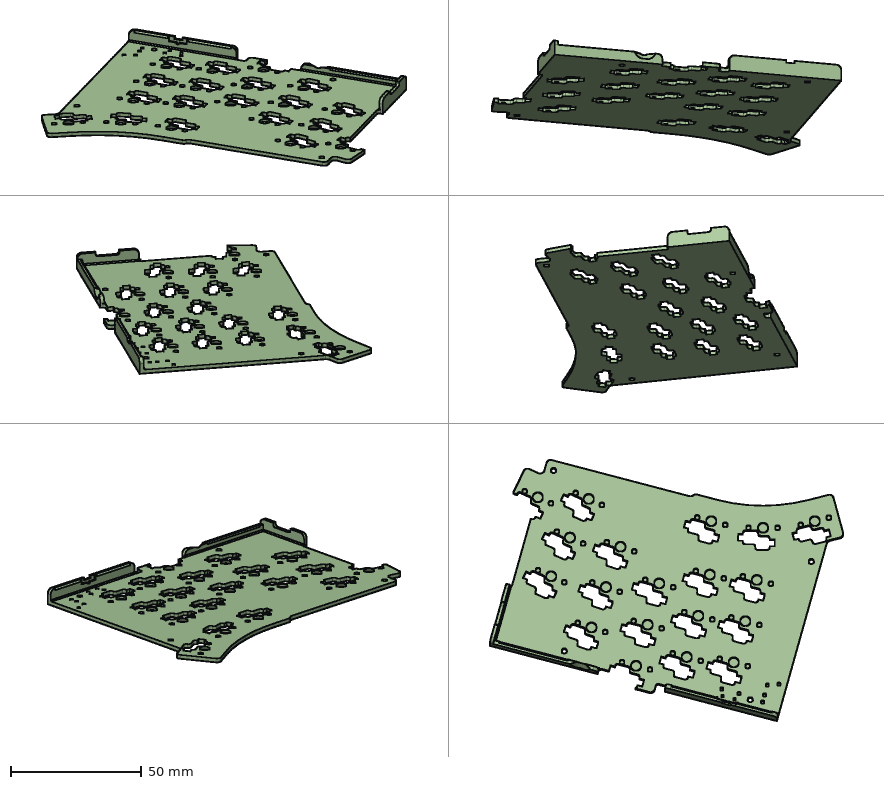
import cadquery as cq
import math


plate_thickness = 1.6
plate_left = 5.2
plate_right = 117.4
plate_front = 14.7
plate_rear = 89.8
corner_radius = 1.6
wall_end_radius = 1.0
step_run = 2.8

key_half_width = 9.4
key_half_depth = 8.7
key_pitch_x = 18.0
key_pitch_y = 17.0
rows = 3
center_pin_diameter = 3.9
side_pin_diameter = 1.9
side_pin_offset = 5.6
pocket_depth = 1.0

columns = [
    (27.2, 74.0, 0),
    (45.2, 76.6, 0),
    (63.0, 85.1, 0),
    (83.6, 74.8, -4),
    (103.8, 59.3, -10),
]
thumb_keys = [(11.9, 11.6, 30), (30.4, 19.4, 15), (50.3, 22.0, 0)]
outer_key_rise = 7.7

socket_radius = 1.0
socket_left_body = (-2.5, 3.2, 2.9, 8.9)
socket_right_body = (1.9, 1.0, 7.7, 6.6)
socket_left_tab = (-4.4, 4.5, 0, 7.3)
socket_right_tab = (5.1, 2.4, 9.5, 5.2)

mount_diameter = 2.0
mount_holes = [(17.2, 86.6), (91.2, 86.6), (9.0, 27.5), (114.0, 18.5)]
pin_diameter = 1.3
pin_places = [(12.4, 86.2), (12.4, 83.3), (12.4, 79.3), (8.2, 77.8)]
switch_x = 25.5
switch_pin_y = 85.3
switch_pin_offset = 3.4
peg_diameter = 1.0
peg_y = 88.0
peg_offset = 2.4

wall_top = 6.3
low_wall_top = 4.2
wall_thickness = 1.6
wall_radius = 2.0
foot_size = 0.5
wall_rear = 91.8
wall_inner_y = wall_rear - wall_thickness
left_wall_end = 49.8
right_wall_start = 76.5
side_wall_right = 119.4
side_wall_thickness = 1.4
side_wall_inner = side_wall_right - side_wall_thickness
side_wall_front = 67.5

relief_width = 0.6
high_relief_depth = 0.8
low_relief_depth = 0.5
high_relief_spans = [(7.6, 21.3), (29.6, 47.5)]
low_relief_spans = [(88.6, 116.1)]

switch_pocket_width = 7.3
switch_pocket_floor = 4.3
switch_pocket_depth = 0.8
lever_width = 3.3
lever_floor = 5.3
lever_dip_diameter = 1.3

jack_x = 83.5
jack_z = 5.8
jack_inner_diameter = 4.3
jack_outer_diameter = 9.0

scoop_front = 75.2
scoop_rear = 84.6
scoop_floor = 4.7
scoop_radius = 1.0


def block(x0, y0, x1, y1, z0, z1):
    return cq.Workplane("XY").box(x1 - x0, y1 - y0, z1 - z0, centered=False).translate((x0, y0, z0))


def place(body, key):
    x, y, turn = key
    return body.rotate((0, 0, 0), (0, 0, 1), turn).translate((x, y, 0))


def key_point(key, local_x, local_y):
    """Plate coordinates of a point given in the key's own turned axes."""
    x, y, turn = key
    c = math.cos(math.radians(turn))
    s = math.sin(math.radians(turn))
    return (x + local_x * c - local_y * s, y + local_x * s + local_y * c)


def column_keys(column):
    turn = column[2]
    return [key_point(column, 0, -row * key_pitch_y) + (turn,) for row in range(rows)]


grid_keys = [key for column in columns for key in column_keys(column)]
rear_key = columns[2]
last_key = grid_keys[-1]
outer_key = key_point(last_key, key_pitch_x, outer_key_rise) + (last_key[2],)
all_keys = grid_keys + [outer_key] + thumb_keys


def key_edge_at_x(key, side, x):
    """Point at the given X on the line through a key footprint's front (-1) or rear (1) edge."""
    start_x, start_y = key_point(key, 0, side * key_half_depth)
    return (x, start_y + (x - start_x) * math.tan(math.radians(key[2])))


def key_footprint(key):
    pad = block(-key_half_width, -key_half_depth, key_half_width, key_half_depth, 0, plate_thickness)
    return place(pad.edges("|Z").fillet(corner_radius), key)


def thumb_pad():
    """Area under the thumb keys, its front edge a fan of arcs tangent to each key."""
    tip, middle, straight = thumb_keys
    fan = [key_point(key, 0, -key_half_depth) for key in thumb_keys]
    step_x, foot_y = key_point(straight, key_half_width, -key_half_depth)
    pad = (
        cq.Workplane("XY")
        .moveTo(*key_point(tip, 0, key_half_depth))
        .lineTo(*key_point(tip, -key_half_width, key_half_depth))
        .lineTo(*key_point(tip, -key_half_width, -key_half_depth))
        .lineTo(*fan[0])
        .tangentArcPoint(fan[1], relative=False)
        .tangentArcPoint(fan[2], relative=False)
        .lineTo(step_x - step_run / 2, foot_y)
        .tangentArcPoint((step_x, (foot_y + plate_front) / 2), relative=False)
        .tangentArcPoint((step_x + step_run / 2, plate_front), relative=False)
        .lineTo(*key_point(straight, key_half_width, 0))
        .lineTo(*key_point(middle, 0, 0))
        .close()
        .extrude(plate_thickness)
    )
    for side in (-key_half_depth, key_half_depth):
        pad = round_corner(pad, key_point(tip, -key_half_width, side), corner_radius)
    return pad


def round_corner(body, corner, radius):
    """Fillet the upright edge of the plate standing at the given corner."""
    at = cq.selectors.NearestToPointSelector((corner[0], corner[1], plate_thickness / 2))
    return body.edges("|Z").edges(at).fillet(radius)


def build_plate():
    body = block(plate_left, plate_front, plate_right, plate_rear, 0, plate_thickness)
    body = round_corner(body, (plate_right, plate_front), corner_radius)
    body = body.union(block(plate_left, plate_front, left_wall_end, wall_rear, 0, plate_thickness))
    right_strip = block(right_wall_start, side_wall_front, side_wall_right, wall_rear, 0, plate_thickness)
    body = body.union(right_strip)
    for key in (rear_key, outer_key):
        body = body.union(key_footprint(key))
    body = body.union(thumb_pad())
    wall_corners = [
        (left_wall_end, plate_rear),
        (rear_key[0] - key_half_width, plate_rear),
        (right_wall_start, plate_rear),
        (plate_right, side_wall_front),
    ]
    for corner in wall_corners:
        body = round_corner(body, corner, wall_end_radius)
    key_corners = [
        key_edge_at_x(thumb_keys[0], 1, plate_left),
        key_edge_at_x(outer_key, -1, plate_right),
    ]
    for corner in key_corners:
        body = round_corner(body, corner, corner_radius)
    return body


def key_cutter():
    """Through socket cutout and blind pin pockets of one key, centred on the origin."""
    left = block(*socket_left_body, 0, plate_thickness)
    right = block(*socket_right_body, 0, plate_thickness)
    socket = left.union(right).edges("|Z").fillet(socket_radius)
    for tab in (socket_left_tab, socket_right_tab):
        socket = socket.union(block(*tab, 0, plate_thickness))
    pins = pockets([(0, 0)], center_pin_diameter)
    pins = pins.union(pockets([(-side_pin_offset, 0), (side_pin_offset, 0)], side_pin_diameter))
    return socket.union(pins)


def pockets(places, diameter):
    floor = cq.Workplane("XY").workplane(offset=plate_thickness - pocket_depth)
    return floor.pushPoints(places).circle(diameter / 2).extrude(pocket_depth)


def cut_holes(body):
    cutter = key_cutter()
    for key in all_keys:
        body = body.cut(place(cutter, key))
    mounts = cq.Workplane("XY").pushPoints(mount_holes).circle(mount_diameter / 2)
    body = body.cut(mounts.extrude(plate_thickness))
    switch_pins = [(switch_x + side * switch_pin_offset, switch_pin_y) for side in (-1, 1)]
    pegs = [(switch_x + side * peg_offset, peg_y) for side in (-1, 1)]
    body = body.cut(pockets(pin_places + switch_pins, pin_diameter))
    body = body.cut(pockets(pegs, peg_diameter))
    return cq.Workplane(max(body.solids().vals(), key=lambda solid: solid.Volume()))


def top_relief(spans, top, depth):
    """Chamfer cutters along the inner top edge of a rear wall."""
    profile = [(wall_inner_y, top), (wall_inner_y, top - depth), (wall_inner_y + relief_width, top)]
    cutter = cq.Workplane("YZ")
    for start, end in spans:
        strip = cq.Workplane("YZ", origin=(start, 0, 0)).polyline(profile).close().extrude(end - start)
        cutter = cutter.add(strip)
    return cutter.combine()


def left_rear_wall():
    wall = block(plate_left, wall_inner_y, left_wall_end, wall_rear, 0, wall_top)
    wall = wall.edges("|Y and >Z").fillet(wall_radius)
    wall = wall.cut(top_relief(high_relief_spans, wall_top, high_relief_depth))
    half_pocket = switch_pocket_width / 2
    pocket_rear = wall_inner_y + switch_pocket_depth
    left, right = switch_x - half_pocket, switch_x + half_pocket
    wall = wall.cut(block(left, wall_inner_y, right, pocket_rear, switch_pocket_floor, wall_top))
    half_lever = lever_width / 2
    left, right = switch_x - half_lever, switch_x + half_lever
    wall = wall.cut(block(left, wall_inner_y, right, wall_rear, lever_floor, wall_top))
    dip = (
        cq.Workplane("XZ", origin=(switch_x, pocket_rear, switch_pocket_floor))
        .circle(lever_dip_diameter / 2)
        .extrude(switch_pocket_depth)
    )
    return wall.cut(dip)


def right_rear_wall():
    wall = block(right_wall_start, wall_inner_y, side_wall_right, wall_rear, plate_thickness, low_wall_top)
    wall = wall.edges("|Y and >Z and <X").fillet(wall_radius)
    wall = wall.cut(top_relief(low_relief_spans, low_wall_top, low_relief_depth))
    flare = (
        cq.Workplane("XZ", origin=(jack_x, wall_rear, jack_z))
        .circle(jack_outer_diameter / 2)
        .workplane(offset=wall_thickness)
        .circle(jack_inner_diameter / 2)
        .loft()
    )
    return wall.cut(flare)


def side_wall():
    wall = block(side_wall_inner, side_wall_front, side_wall_right, wall_rear, 0, wall_top)
    wall = wall.edges("|X and >Z").fillet(wall_radius)
    scoop_top = wall_top + scoop_radius
    scoop = block(side_wall_inner, scoop_front, side_wall_right, scoop_rear, scoop_floor, scoop_top)
    return wall.cut(scoop.edges("|X and <Z").fillet(scoop_radius))


def foot(plane, length, face):
    """Sloped strip of the given length along the foot of a wall's inner face."""
    profile = [
        (face, plate_thickness),
        (face - foot_size, plate_thickness),
        (face, plate_thickness + foot_size),
    ]
    return cq.Workplane(plane).polyline(profile).close().extrude(length)


def build_walls():
    left_length = left_wall_end + foot_size - plate_left
    left_foot = foot("YZ", left_length, wall_inner_y)
    right_length = side_wall_inner - right_wall_start
    right_foot = foot("YZ", right_length, wall_inner_y)
    side_length = wall_inner_y - side_wall_front + foot_size
    side_foot = foot("XZ", side_length, side_wall_inner)
    return [
        left_rear_wall(),
        right_rear_wall(),
        side_wall(),
        left_foot.translate((plate_left, 0, 0)),
        right_foot.translate((right_wall_start, 0, 0)),
        side_foot.translate((0, wall_inner_y, 0)),
    ]


result = cut_holes(build_plate())
for wall in build_walls():
    result = result.union(wall)